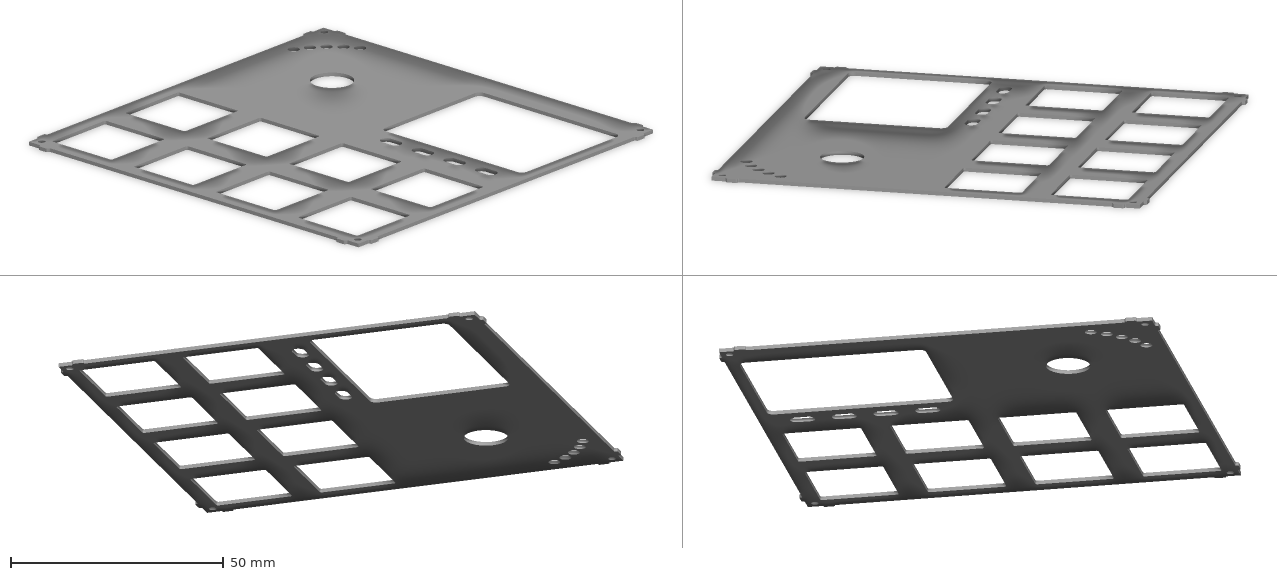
import cadquery as cq
import math

overall_size = 105.6
thickness = 0.91

tab_height = 0.7
tab_width = 2.7
tab_offset = 47.0
tab_root_depth = 0.5
tab_flank_radius = tab_height / 2
plate_size = overall_size - 2 * tab_height

screw_spacing = 99.9
screw_diameter = 1.8

window_x = 26.6
window_y = 26.7
window_width = 44.8
window_height = 34.8
window_radius = 1.6
slot_count = 4
slot_pitch = 10.0
slot_length = 6.0
slot_width = 3.1
slot_row_y = 4.8

key_columns = 4
key_rows = 2
key_pitch = 25.9
key_size = 18.9
key_radius = 0.5
key_block_y = -key_pitch

knob_x = -26.7
knob_y = 26.7
knob_diameter = 10.5
indicator_count = 5
indicator_diameter = 2.9
indicator_arc_radius = 22.9
indicator_middle_angle = 135.0
indicator_step_angle = 10.0


def edge_tab():
    """Tab on the +Y edge near the +X corner; each flank is a concave arc running into a convex one."""
    base = plate_size / 2
    root = base - tab_root_depth
    tip = overall_size / 2
    middle = base + tab_flank_radius
    half_middle = tab_width / 2
    half_tip = half_middle - tab_flank_radius
    half_base = half_middle + tab_flank_radius
    outline = (
        cq.Workplane("XY")
        .center(tab_offset, 0)
        .moveTo(-half_base, root)
        .lineTo(-half_base, base)
        .radiusArc((-half_middle, middle), -tab_flank_radius)
        .radiusArc((-half_tip, tip), tab_flank_radius)
        .lineTo(half_tip, tip)
        .radiusArc((half_middle, middle), tab_flank_radius)
        .radiusArc((half_base, base), -tab_flank_radius)
        .lineTo(half_base, root)
        .close()
    )
    return outline.extrude(thickness / 2, both=True)


def make_plate():
    """Square plate centered on the origin, with two tabs on each of its four edges."""
    plate = cq.Workplane("XY").box(plate_size, plate_size, thickness)
    right_tab = edge_tab()
    left_tab = right_tab.mirror("YZ")
    for quarter in range(4):
        for tab in (right_tab, left_tab):
            plate = plate.union(tab.rotate((0, 0, 0), (0, 0, 1), 90 * quarter))
    return plate


def through_cutter(outlines):
    """Solid that cuts the given outlines right through the plate."""
    return outlines.extrude(thickness, both=True)


def round_holes(points, diameter):
    return through_cutter(cq.Workplane("XY").pushPoints(points).circle(diameter / 2))


def screw_holes():
    corners = cq.Workplane("XY").rarray(screw_spacing, screw_spacing, 2, 2)
    return through_cutter(corners.circle(screw_diameter / 2))


def indicator_holes():
    points = []
    for index in range(indicator_count):
        steps_from_middle = index - (indicator_count - 1) / 2
        angle = math.radians(indicator_middle_angle + steps_from_middle * indicator_step_angle)
        x = knob_x + indicator_arc_radius * math.cos(angle)
        y = knob_y + indicator_arc_radius * math.sin(angle)
        points.append((x, y))
    return round_holes(points, indicator_diameter)


def display_window():
    outline = cq.Workplane("XY").center(window_x, window_y).rect(window_width, window_height)
    return through_cutter(outline).edges("|Z").fillet(window_radius)


def button_slots():
    row = cq.Workplane("XY").center(window_x, slot_row_y).rarray(slot_pitch, 1.1, slot_count, 1)
    return through_cutter(row.slot2D(slot_length, slot_width))


def key_openings():
    grid = cq.Workplane("XY").center(0, key_block_y)
    grid = grid.rarray(key_pitch, key_pitch, key_columns, key_rows)
    return through_cutter(grid.rect(key_size, key_size)).edges("|Z").fillet(key_radius)


result = (
    make_plate()
    .cut(screw_holes())
    .cut(round_holes([(knob_x, knob_y)], knob_diameter))
    .cut(indicator_holes())
    .cut(display_window())
    .cut(button_slots())
    .cut(key_openings())
)